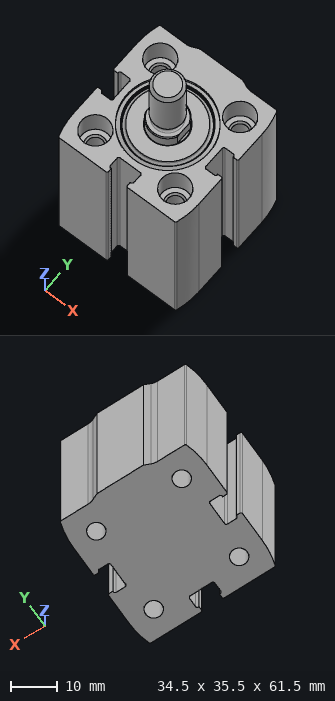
import cadquery as cq
import math


total_height = 61.5
housing_height = 42.5
housing_width = 34.5
half_width = housing_width / 2

pad_height = 1.0
pad_half_width = 5.95
pad_ramp_angle = 24.0
pad_blend_tangent = 0.75
side_flat_half = 10.7
corner_x = 16.2
corner_fillet = 0.4

slot_mouth_width = 5.2
slot_inner_width = 6.45
slot_depth = 4.5
slot_lip = 1.35
slot_fillet = 0.4
slot_mouth_rounding = 0.35

bolt_spacing = 22.0
bolt_hole_diameter = 4.1
bolt_countersink_diameter = 5.05
counterbore_diameter = 7.5
counterbore_depth = 7.0

recess_radius = 22.4 / 2
recess_depth = 0.75
ring_crest_radius = 10.15
ring_crest_depth = 0.2
groove_outer_radius = 20.0 / 2
groove_inner_radius = 9.8
groove_depth = 0.8
face_shoulder_radius = 9.15
face_shoulder_depth = 0.35
face_radius = 9.0
face_depth = 0.2

collar_diameter = 10.0
collar_top = 45.6
collar_chamfer = 0.25
flat_distance = 9.0
flat_runout = 0.35
thread_diameter = 8.0
thread_bottom = 47.85
undercut_diameter = 6.4
undercut_foot_diameter = 7.5
undercut_blend_radius = 0.85
rod_bore_chamfer = 0.2
rod_insertion = 12.3

face_z = housing_height - face_depth
rod_bottom = face_z - rod_insertion


def housing_block():
    """Extruded outline with bowed side ends and a raised pad on the +Y side."""
    inset = half_width - corner_x
    run = half_width - side_flat_half
    bow_radius = (run**2 + inset**2) / (2 * inset)
    half_angle = math.asin(run / bow_radius) / 2
    bow_x = half_width - bow_radius * (1 - math.cos(half_angle))
    bow_y = side_flat_half + bow_radius * math.sin(half_angle)

    pad_y = half_width + pad_height
    ramp_angle = math.radians(pad_ramp_angle)
    ramp_foot_x = pad_half_width + pad_height / math.tan(ramp_angle)
    blend_top = (
        ramp_foot_x - pad_blend_tangent * math.cos(ramp_angle),
        half_width + pad_blend_tangent * math.sin(ramp_angle),
    )

    half_outline = (
        cq.Workplane("XY")
        .moveTo(0, -half_width)
        .lineTo(corner_x, -half_width)
        .threePointArc((bow_x, -bow_y), (half_width, -side_flat_half))
        .lineTo(half_width, side_flat_half)
        .threePointArc((bow_x, bow_y), (corner_x, half_width))
        .lineTo(ramp_foot_x + pad_blend_tangent, half_width)
        .tangentArcPoint(blend_top, relative=False)
        .lineTo(pad_half_width, pad_y)
        .lineTo(0, pad_y)
        .close()
    )
    half_block = half_outline.extrude(housing_height)
    block = half_block.union(half_block.mirror("YZ")).clean()
    for x in (-corner_x, corner_x):
        for y in (-half_width, half_width):
            corner_edge = cq.selectors.NearestToPointSelector((x, y, housing_height / 2))
            block = block.edges("|Z").edges(corner_edge).fillet(corner_fillet)
    return block


def slot_cutter(angle):
    """T-slot in the +X side, turned about Z by the given angle."""
    inner_length = slot_depth - slot_lip
    from_floor = (False, True, False)
    mouth = cq.Workplane("XY").box(slot_depth, slot_mouth_width, housing_height, centered=from_floor)
    inner = (
        cq.Workplane("XY")
        .box(inner_length, slot_inner_width, housing_height, centered=from_floor)
        .edges("|Z")
        .fillet(slot_fillet)
    )
    slot = mouth.union(inner).translate((half_width - slot_depth, 0, 0))
    return slot.rotate((0, 0, 0), (0, 0, 1), angle)


def round_slot_mouths(housing):
    """Round the outer edges of the three slot mouths."""
    mouth_half = slot_mouth_width / 2
    mouth_edges = [
        (-half_width, -mouth_half),
        (-half_width, mouth_half),
        (half_width, -mouth_half),
        (half_width, mouth_half),
        (-mouth_half, -half_width),
        (mouth_half, -half_width),
    ]
    for x, y in mouth_edges:
        mouth_edge = cq.selectors.NearestToPointSelector((x, y, housing_height / 2))
        housing = housing.edges("|Z").edges(mouth_edge).fillet(slot_mouth_rounding)
    return housing


def bolt_hole_cutter():
    """Counterbored through hole on the Z axis, countersunk below the counterbore."""
    hole_radius = bolt_hole_diameter / 2
    sink_radius = bolt_countersink_diameter / 2
    bore_radius = counterbore_diameter / 2
    seat_z = housing_height - counterbore_depth
    profile = [
        (0, 0),
        (hole_radius, 0),
        (hole_radius, seat_z - (sink_radius - hole_radius)),
        (sink_radius, seat_z),
        (bore_radius, seat_z),
        (bore_radius, housing_height),
        (0, housing_height),
    ]
    return cq.Workplane("XZ").polyline(profile).close().revolve(360, (0, 0, 0), (0, 1, 0))


def ring_recess_cutter():
    """Stepped recess around the rod in the top face."""
    profile_by_depth = [
        (0, 0),
        (recess_radius, 0),
        (recess_radius, recess_depth),
        (ring_crest_radius, ring_crest_depth),
        (groove_outer_radius, ring_crest_depth + ring_crest_radius - groove_outer_radius),
        (groove_outer_radius, groove_depth),
        (groove_inner_radius, groove_depth),
        (face_shoulder_radius, face_shoulder_depth),
        (face_radius, face_depth),
        (0, face_depth),
    ]
    profile = [(radius, housing_height - depth) for radius, depth in profile_by_depth]
    return cq.Workplane("XZ").polyline(profile).close().revolve(360, (0, 0, 0), (0, 1, 0))


def rod_bore_cutter():
    """Blind bore that fits the rod, chamfered at the central face."""
    bore_radius = collar_diameter / 2
    mouth_radius = bore_radius + rod_bore_chamfer
    profile = [
        (0, rod_bottom),
        (bore_radius, rod_bottom),
        (bore_radius, face_z - rod_bore_chamfer),
        (mouth_radius, face_z),
        (0, face_z),
    ]
    return cq.Workplane("XZ").polyline(profile).close().revolve(360, (0, 0, 0), (0, 1, 0))


def make_rod():
    """Rod with wrench flats, an undercut and a plain thread cylinder."""
    thread_radius = thread_diameter / 2
    collar_radius = collar_diameter / 2
    neck_radius = undercut_diameter / 2
    foot_radius = undercut_foot_diameter / 2
    thread_step = thread_radius - neck_radius
    foot_fillet = foot_radius - neck_radius

    cone_end = thread_bottom - thread_step
    tangent = undercut_blend_radius * math.tan(math.radians(22.5))
    slant = tangent * math.sqrt(0.5)
    blend_start = (neck_radius + slant, cone_end + slant)
    blend_end = (neck_radius, cone_end - tangent)

    rod = (
        cq.Workplane("XZ")
        .moveTo(0, rod_bottom)
        .lineTo(collar_radius, rod_bottom)
        .lineTo(collar_radius, collar_top - collar_chamfer)
        .lineTo(collar_radius - collar_chamfer, collar_top)
        .lineTo(foot_radius, collar_top)
        .radiusArc((neck_radius, collar_top + foot_fillet), foot_fillet)
        .lineTo(*blend_end)
        .radiusArc(blend_start, undercut_blend_radius)
        .lineTo(thread_radius, thread_bottom)
        .lineTo(thread_radius, total_height - thread_step)
        .lineTo(neck_radius, total_height)
        .lineTo(0, total_height)
        .close()
        .revolve(360, (0, 0, 0), (0, 1, 0))
    )

    flat_x = flat_distance / 2
    flat_profile = [
        (flat_x, collar_top),
        (flat_x, face_z),
        (collar_radius, face_z - flat_runout),
        (collar_radius, collar_top),
    ]
    flat_cutter = cq.Workplane("XZ").polyline(flat_profile).close().extrude(collar_radius, both=True)
    return rod.cut(flat_cutter).cut(flat_cutter.mirror("YZ"))


def make_housing():
    """Housing with slots, bolt holes, ring recess and a blind bore for the rod."""
    housing = housing_block()
    for angle in (0, 180, 270):
        housing = housing.cut(slot_cutter(angle))
    housing = round_slot_mouths(housing)
    bolt_hole = bolt_hole_cutter()
    for x_side in (-1, 1):
        for y_side in (-1, 1):
            place = (x_side * bolt_spacing / 2, y_side * bolt_spacing / 2, 0)
            housing = housing.cut(bolt_hole.translate(place))
    return housing.cut(ring_recess_cutter()).cut(rod_bore_cutter())


housing = make_housing()
rod = make_rod()

result = cq.Compound.makeCompound([housing.solids().val(), rod.solids().val()])